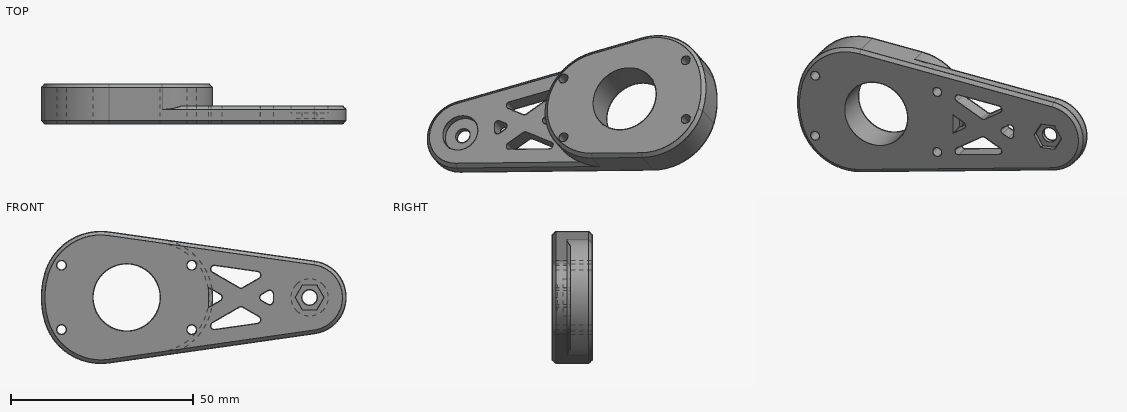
import cadquery as cq
import math

total_length = 83.5
total_thickness = 11.0
plate_thickness = 5.0
edge_chamfer = 1.0

tip_radius = 10.0
tip_x = 50.1
boss_radius = 16.0
boss_x = 7.5
heel_radius = total_length - tip_x - tip_radius
heel_corner_radius = 16.0

bore_diameter = 18.4
screw_diameter = 2.6
screw_spacing_x = 35.6
screw_spacing_z = 17.6
bolt_diameter = 4.2
nut_across_flats = 6.85
nut_depth = 1.5
back_recess_diameter = 10.2
back_recess_depth = 2.0

lattice_x = 31.3
lattice_half_length = 8.85
strut_width = 4.2
strut_angle = math.radians(30)
border_width = 5.0
window_fillet = 1.0

taper = math.asin((boss_radius - tip_radius) / (tip_x - boss_x))
normal_x = math.sin(taper)
normal_z = math.cos(taper)


def on_circle(center, radius, direction):
    return (center[0] + radius * direction[0], center[1] + radius * direction[1])


def arm_outline(end_x, end_radius):
    """Wire from the rounded heel along both tapered sides to an end arc."""
    side_offset = boss_radius + boss_x * normal_x - heel_corner_radius
    slide = math.sqrt((heel_radius - heel_corner_radius) ** 2 - side_offset ** 2)
    corner = (side_offset * normal_x - slide * normal_z, side_offset * normal_z + slide * normal_x)
    corner_distance = math.hypot(*corner)
    toward_heel = (corner[0] / corner_distance, corner[1] / corner_distance)
    side_normal = (normal_x, normal_z)
    middle_angle = (math.atan2(toward_heel[1], toward_heel[0]) + math.pi / 2 - taper) / 2
    corner_middle = (math.cos(middle_angle), math.sin(middle_angle))

    heel_top = on_circle((0, 0), heel_radius, toward_heel)
    corner_mid = on_circle(corner, heel_corner_radius, corner_middle)
    side_start = on_circle(corner, heel_corner_radius, side_normal)
    side_end = on_circle((end_x, 0), end_radius, side_normal)

    def mirrored(point):
        return (point[0], -point[1])

    return (
        cq.Workplane("XZ")
        .moveTo(*heel_top)
        .threePointArc(corner_mid, side_start)
        .lineTo(*side_end)
        .threePointArc((end_x + end_radius, 0), mirrored(side_end))
        .lineTo(*mirrored(side_start))
        .threePointArc(mirrored(corner_mid), mirrored(heel_top))
        .threePointArc((-heel_radius, 0), heel_top)
        .close()
    )


def chamfered_slab(end_x, end_radius, thickness):
    slab = arm_outline(end_x, end_radius).extrude(-thickness)
    return slab.faces("<Y or >Y").chamfer(edge_chamfer)


def window(points):
    return cq.Workplane("XZ").polyline(points).close().extrude(-plate_thickness)


def lattice_windows():
    slope = math.tan(strut_angle)
    strut_rise = strut_width / 2 / math.cos(strut_angle)
    strut_run = strut_rise / slope
    base_half_height = (lattice_half_length - strut_run) * slope

    border_rise = (tip_radius + (tip_x - lattice_x) * normal_x - border_width) / normal_z
    border_slope = math.tan(taper)
    left_reach = (border_rise - strut_rise) / (slope - border_slope)
    right_reach = (border_rise - strut_rise) / (slope + border_slope)

    windows = []
    for side in (1, -1):
        long_window = window([
            (lattice_x, side * strut_rise),
            (lattice_x + right_reach, side * (strut_rise + right_reach * slope)),
            (lattice_x - left_reach, side * (strut_rise + left_reach * slope)),
        ])
        windows.append(long_window.edges("|Y").fillet(window_fillet))

        base_x = lattice_x + side * lattice_half_length
        end_window = window([
            (lattice_x + side * strut_run, 0),
            (base_x, base_half_height),
            (base_x, -base_half_height),
        ])
        rounded = "|Y" if side > 0 else "|Y and >X"
        windows.append(end_window.edges(rounded).fillet(window_fillet))
    return windows


def through_hole(x, z, diameter):
    return cq.Workplane("XZ").center(x, z).circle(diameter / 2).extrude(-total_thickness)


plate = chamfered_slab(tip_x, tip_radius, plate_thickness)
boss = chamfered_slab(boss_x, boss_radius, total_thickness)
body = plate.union(boss)

for opening in lattice_windows():
    body = body.cut(opening)

body = body.cut(through_hole(0, 0, bore_diameter))
for x in (-screw_spacing_x / 2, screw_spacing_x / 2):
    for z in (-screw_spacing_z / 2, screw_spacing_z / 2):
        body = body.cut(through_hole(x, z, screw_diameter))

body = body.cut(through_hole(tip_x, 0, bolt_diameter))
nut_across_corners = nut_across_flats / math.cos(math.pi / 6)
nut_recess = cq.Workplane("XZ").center(tip_x, 0).polygon(6, nut_across_corners).extrude(-nut_depth)
body = body.cut(nut_recess)

back_recess = (
    cq.Workplane("XZ", origin=(0, plate_thickness, 0))
    .center(tip_x, 0)
    .circle(back_recess_diameter / 2)
    .extrude(back_recess_depth)
)
result = body.cut(back_recess)